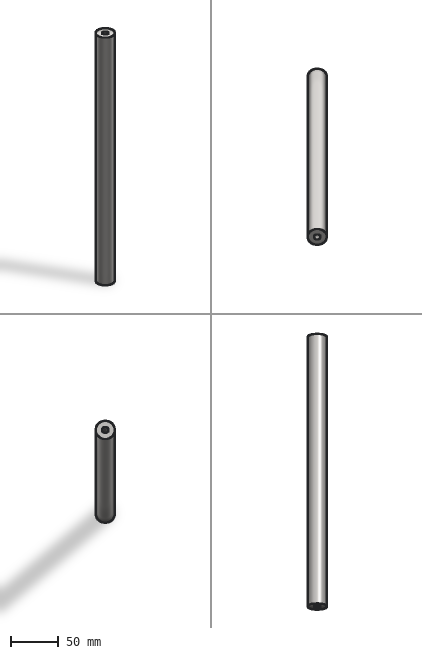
import cadquery as cq

length = 300.0
outer_diameter = 20.0
bore_diameter = 6.5

result = (
    cq.Workplane("XY")
    .circle(outer_diameter / 2)
    .circle(bore_diameter / 2)
    .extrude(length)
)